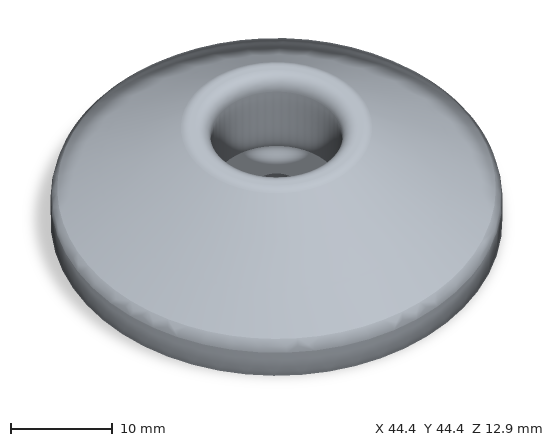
import cadquery as cq

outer_radius = 22.22
height = 12.85
rim_height = 3.9
top_radius = 9.02
edge_fillet = 1.5

bore_radius = 6.5
bore_floor_height = 4.0
through_hole_radius = 2.55


def make_body():
    """Revolve the half-section about Z and round the rim, top and bore edges."""
    half_section = (
        cq.Workplane("XZ")
        .moveTo(through_hole_radius, 0)
        .lineTo(outer_radius, 0)
        .lineTo(outer_radius, rim_height)
        .lineTo(top_radius, height)
        .lineTo(bore_radius, height)
        .lineTo(bore_radius, bore_floor_height)
        .lineTo(through_hole_radius, bore_floor_height)
        .close()
    )
    body = half_section.revolve(360, (0, 0, 0), (0, 1, 0))

    body = body.faces(">Z").edges().fillet(edge_fillet)

    widest_circles = cq.selectors.RadiusNthSelector(-1)
    rim_corner = body.edges("%CIRCLE").edges(widest_circles).edges(">Z")
    return rim_corner.fillet(edge_fillet)


result = make_body()